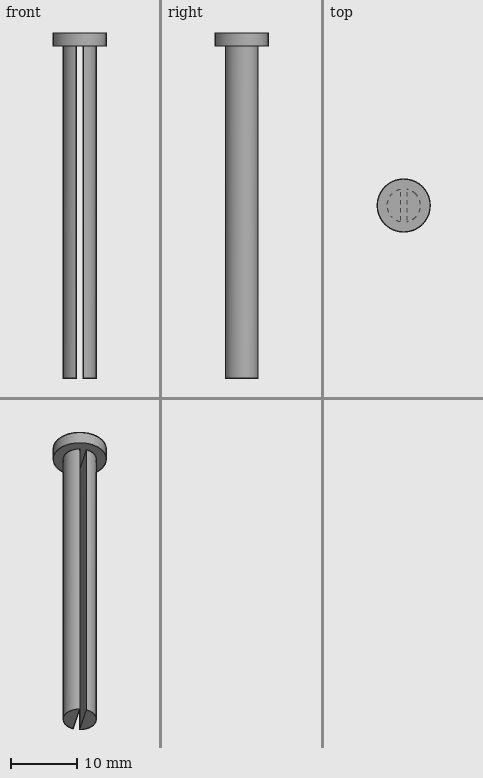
import cadquery as cq

head_diameter = 8.0
head_height = 2.0
shank_diameter = 5.0
shank_length = 50.0
slot_width = 1.0


def make_head():
    """Flat disc that sits on top of the shank."""
    return cq.Workplane("XY").workplane(offset=shank_length).circle(head_diameter / 2).extrude(head_height)


def make_shank():
    """Round shank standing on the XY plane."""
    return cq.Workplane("XY").circle(shank_diameter / 2).extrude(shank_length)


def make_slot():
    """Slot along Y that splits the shank into two legs, up to the underside of the head."""
    return cq.Workplane("XY").rect(slot_width, shank_diameter).extrude(shank_length)


split_shank = make_shank().cut(make_slot())
result = make_head().union(split_shank)